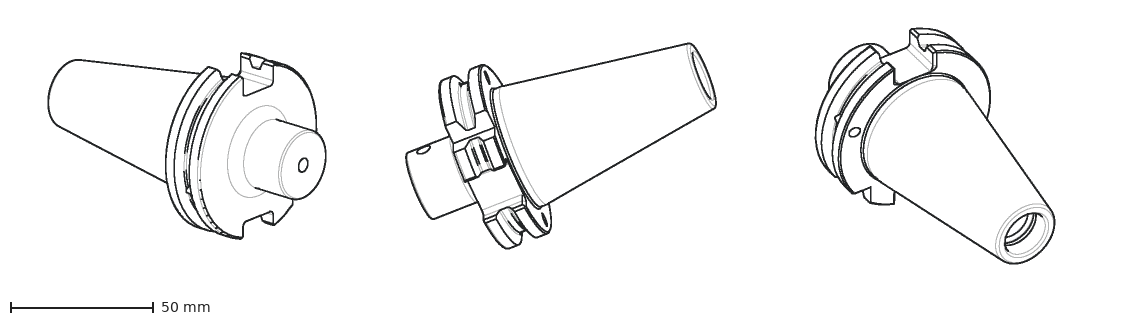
import cadquery as cq
import math

total_length = 108.2
gauge_x = 68.3
neck_end_x = 70.7
flange_x = 71.4
flange_width = 15.9
flange_end_x = flange_x + flange_width

gauge_radius = 22.2
taper_slope = 7 / 48
small_radius = gauge_radius - gauge_x * taper_slope
small_end_fillet = 1.0
neck_root_radius = 22.7
nose_radius = 12.6
nose_end_fillet = 0.6
nose_fillet = 4.0

flange_radius = 63.5 / 2
front_rim_chamfer = 0.5
rear_rim_fillet = 0.8
groove_x = flange_x + flange_width / 2
groove_floor_radius = 56.0 / 2
groove_half_floor = 3.4 / 2
groove_half_mouth = 7.0 / 2
groove_fillet = 0.8
groove_flank_angle = math.atan2(
    groove_half_mouth - groove_half_floor, flange_radius - groove_floor_radius
)

slot_half_width = 8.0
slot_fillet = 1.6
slot_chamfer = 1.0
top_slot_floor = 22.6
bottom_slot_floor = 24.5

notch_y = 18.5
notch_z = 18.3

pocket_radius = 8.4
pocket_mouth_fillet = 0.9
undercut_depth = 0.3
undercut_start_x = 6.8
undercut_end_x = 9.0
thread_radius = 7.0
thread_end_x = 32.5
bore_radius = 2.5
step_half_angle = math.radians(60)

slanted_hole_radius = 3.8 / 2
radial_hole_radius = 2.1
coolant_face_radius = 27.0
coolant_angle = 20.0
coolant_tilt = math.radians(37)

screw_x = 101.3
screw_radius = 2.5


def revolve_x(profile):
    """Turn a closed profile in the XY plane about the X axis."""
    return profile.revolve(360, (0, 0, 0), (1, 0, 0))


def make_shank():
    """Taper with its neck, running on to the flange."""
    profile = (
        cq.Workplane("XY")
        .polyline([
            (0, 0),
            (0, small_radius),
            (gauge_x, gauge_radius),
            (neck_end_x, gauge_radius),
            (flange_x, neck_root_radius),
            (flange_x, 0),
        ])
        .close()
    )
    return revolve_x(profile).faces("<X").edges().fillet(small_end_fillet)


def make_nose():
    """Cylindrical nose, blended into the rear of the flange."""
    profile = (
        cq.Workplane("XY")
        .moveTo(flange_end_x, 0)
        .lineTo(flange_end_x, nose_radius + nose_fillet)
        .radiusArc((flange_end_x + nose_fillet, nose_radius), -nose_fillet)
        .lineTo(total_length, nose_radius)
        .lineTo(total_length, 0)
        .close()
    )
    return revolve_x(profile).faces(">X").edges().fillet(nose_end_fillet)


def make_disc():
    """Plain flange disc with its rims broken."""
    disc = cq.Workplane("YZ").workplane(offset=flange_x).circle(flange_radius).extrude(flange_width)
    disc = disc.faces("<X").edges().chamfer(front_rim_chamfer)
    return disc.faces(">X").edges().fillet(rear_rim_fillet)


def make_groove():
    """V groove cutter with rounded floor corners."""
    tangent = groove_fillet * math.tan((math.pi / 2 - groove_flank_angle) / 2)
    half_flat = groove_half_floor - tangent
    half_flank = groove_half_floor + tangent * math.sin(groove_flank_angle)
    flank_radius = groove_floor_radius + tangent * math.cos(groove_flank_angle)
    profile = (
        cq.Workplane("XY")
        .moveTo(groove_x - groove_half_mouth, flange_radius)
        .lineTo(groove_x - half_flank, flank_radius)
        .radiusArc((groove_x - half_flat, groove_floor_radius), -groove_fillet)
        .lineTo(groove_x + half_flat, groove_floor_radius)
        .radiusArc((groove_x + half_flank, flank_radius), -groove_fillet)
        .lineTo(groove_x + groove_half_mouth, flange_radius)
        .close()
    )
    return revolve_x(profile)


def make_slot(floor_height):
    """Cutter for a slot at the top of the flange, flared at its front mouth and outer edges."""
    mouth = slot_half_width + slot_chamfer
    overrun = slot_chamfer
    start_x = flange_x - overrun
    start_half_width = mouth + overrun
    throat_x = flange_x + slot_chamfer
    end_x = flange_end_x + overrun
    channel = (
        cq.Workplane("XY")
        .workplane(offset=floor_height)
        .polyline([
            (start_x, -start_half_width),
            (throat_x, -slot_half_width),
            (end_x, -slot_half_width),
            (end_x, slot_half_width),
            (throat_x, slot_half_width),
            (start_x, start_half_width),
        ])
        .close()
        .extrude(flange_radius - floor_height)
        .faces("<Z")
        .edges("not #X")
        .fillet(slot_fillet)
    )
    corner_z = math.sqrt(flange_radius**2 - mouth**2)
    flare = (
        cq.Workplane("YZ")
        .workplane(offset=flange_x)
        .polyline([
            (-mouth, corner_z),
            (-slot_half_width, corner_z - slot_chamfer),
            (slot_half_width, corner_z - slot_chamfer),
            (mouth, corner_z),
            (mouth, flange_radius),
            (-mouth, flange_radius),
        ])
        .close()
        .extrude(flange_width)
    )
    return channel.union(flare)


def make_notch():
    """Square corner notch on the +Y, -Z side, as long as the flange."""
    block = cq.Workplane("XY").box(flange_width, flange_radius, flange_radius, centered=False)
    return block.translate((flange_x, notch_y, -notch_z - flange_radius))


def make_bore():
    """Stepped bore: locating pocket, undercut, threaded length and a narrow passage to the nose."""
    entry_length = (pocket_radius - thread_radius) / math.tan(step_half_angle)
    tip_length = (thread_radius - bore_radius) / math.tan(step_half_angle)
    profile = (
        cq.Workplane("XY")
        .moveTo(0, 0)
        .lineTo(0, pocket_radius + pocket_mouth_fillet)
        .radiusArc((pocket_mouth_fillet, pocket_radius), -pocket_mouth_fillet)
        .lineTo(undercut_start_x, pocket_radius)
        .lineTo(undercut_start_x + undercut_depth, pocket_radius + undercut_depth)
        .lineTo(undercut_end_x - undercut_depth, pocket_radius + undercut_depth)
        .lineTo(undercut_end_x, pocket_radius)
        .lineTo(undercut_end_x + entry_length, thread_radius)
        .lineTo(thread_end_x, thread_radius)
        .lineTo(thread_end_x + tip_length, bore_radius)
        .lineTo(total_length, bore_radius)
        .lineTo(total_length, 0)
        .close()
    )
    return revolve_x(profile)


def make_coolant_hole():
    """Slanted hole from the front of the flange, meeting a radial hole under the groove."""
    drop = (groove_x - flange_x) * math.tan(coolant_tilt)
    entry = cq.Vector(flange_x, coolant_face_radius, 0)
    meeting = cq.Vector(groove_x, coolant_face_radius - drop, 0)
    run = meeting - entry
    lead_in = run.normalized() * (2 * slanted_hole_radius)
    slanted = cq.Solid.makeCylinder(
        slanted_hole_radius, (run + lead_in).Length, entry - lead_in, run
    )
    radial = cq.Solid.makeCylinder(
        radial_hole_radius, flange_radius, cq.Vector(groove_x, 0, 0), cq.Vector(0, 1, 0)
    )
    hole = cq.Workplane(slanted).union(cq.Workplane(radial))
    return hole.rotate((0, 0, 0), (1, 0, 0), coolant_angle)


def make_screw_hole():
    """Radial hole from the +Y side of the nose to the axis."""
    return cq.Workplane(cq.Solid.makeCylinder(
        screw_radius, nose_radius, cq.Vector(screw_x, 0, 0), cq.Vector(0, 1, 0)))


def make_flange():
    """Grooved disc with two drive slots and the corner notch."""
    flange = make_disc().cut(make_groove()).cut(make_notch())
    flange = flange.cut(make_slot(top_slot_floor))
    lower_slot = make_slot(bottom_slot_floor).rotate((0, 0, 0), (1, 0, 0), 180)
    return flange.cut(lower_slot)


body = make_shank().union(make_flange()).union(make_nose())
body = body.cut(make_bore()).cut(make_screw_hole())
for turn in (0, 180):
    body = body.cut(make_coolant_hole().rotate((0, 0, 0), (1, 0, 0), turn))
result = cq.Workplane(body.solids().val())